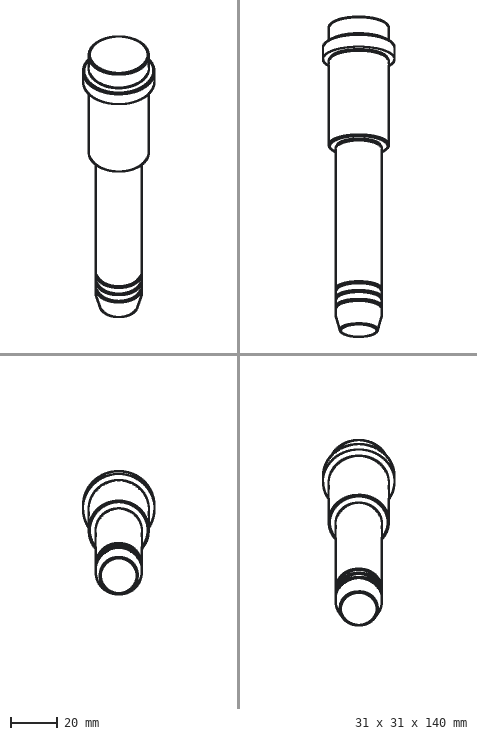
import cadquery as cq
import math

length = 140.0
flange_radius = 31.0 / 2
body_radius = 26.0 / 2
stem_radius = 20.0 / 2

flange_top = length - 9.0
flange_bottom = length - 15.0
body_bottom = length - 55.0
tip_height = 7.0

head_chamfer = 0.5
head_lower_chamfer = 0.5
head_neck_width = 0.5
head_neck_radius = body_radius - 1.0
flange_chamfer = 0.5
body_chamfer = 0.5
relief_depth = 0.5
relief_width = 1.0
relief_radius = body_radius - relief_depth
stem_relief_radius = stem_radius - relief_depth

tip_angle = math.radians(15)
tip_chamfer = 0.4
tip_radius = stem_radius - tip_height * math.tan(tip_angle)

groove_count = 3
first_groove_height = 10.5
groove_pitch = 4.0
groove_width = 1.0
groove_depth = groove_width / 2


def groove_cutter(center_height):
    """Ring of diamond section that cuts one V-shaped groove into the stem."""
    section = [
        (stem_radius - groove_depth, center_height),
        (stem_radius, center_height + groove_width / 2),
        (stem_radius + groove_depth, center_height),
        (stem_radius, center_height - groove_width / 2),
    ]
    return cq.Workplane("XZ").polyline(section).close().revolve(360, (0, 0), (0, 1))


def pin_body():
    """Stepped pin, revolved from its half section (radius, height)."""
    head_bottom = flange_top + head_neck_width
    body_top = flange_bottom - relief_width
    stem_top = body_bottom - relief_width
    outline = [
        (0, 0),
        (tip_radius, 0),
        (stem_radius, tip_height),
        (stem_radius, stem_top),
        (stem_relief_radius, stem_top),
        (stem_relief_radius, body_bottom),
        (body_radius - body_chamfer, body_bottom),
        (body_radius, body_bottom + body_chamfer),
        (body_radius, body_top),
        (relief_radius, body_top + relief_depth),
        (relief_radius, flange_bottom),
        (flange_radius, flange_bottom),
        (flange_radius, flange_top - flange_chamfer),
        (flange_radius - flange_chamfer, flange_top),
        (head_neck_radius, flange_top),
        (head_neck_radius, head_bottom),
        (body_radius - head_lower_chamfer, head_bottom),
        (body_radius, head_bottom + head_lower_chamfer),
        (body_radius, length - head_chamfer),
        (body_radius - head_chamfer, length),
        (0, length),
    ]
    return cq.Workplane("XZ").polyline(outline).close().revolve(360, (0, 0), (0, 1))


result = pin_body().faces("<Z").edges().chamfer(tip_chamfer)
for index in range(groove_count):
    result = result.cut(groove_cutter(first_groove_height + index * groove_pitch))